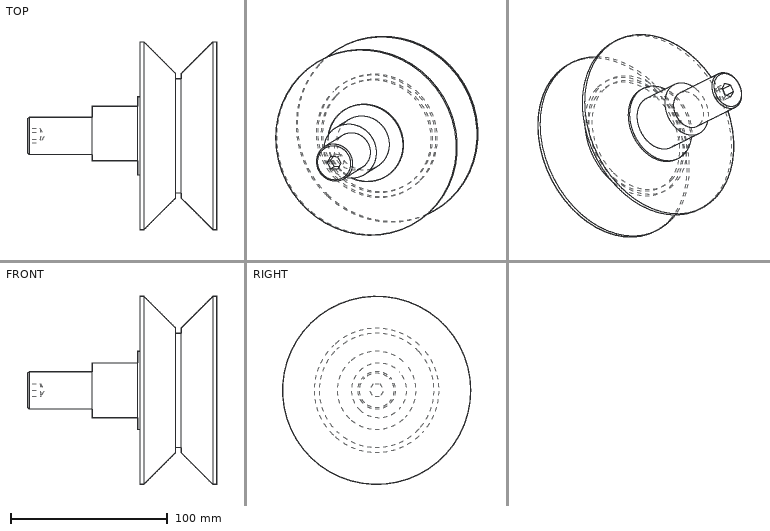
import cadquery as cq
import math


wheel_radius = 60.0
wheel_width = 49.0
rim_width = 2.5
flank_angle = 45.0
relief_width = 3.4
relief_radius = 36.5

flange_radius = 25.0
flange_length = 1.5
collar_radius = 17.5
collar_length = 29.0
collar_offset = 1.5
shaft_radius = 12.0
shaft_length = 41.0
shaft_chamfer = 1.0

socket_across_flats = 8.0
socket_depth = 8.0
socket_tip_angle = 120.0

wheel_face = -wheel_width / 2
flange_face = wheel_face - flange_length
collar_face = flange_face - collar_length
shaft_end = collar_face - shaft_length


def cylinder(start, length, radius, offset_y=0.0):
    """Solid cylinder along +X from the given station."""
    return cq.Workplane("YZ", origin=(start, offset_y, 0)).circle(radius).extrude(length)


def make_wheel():
    """Revolved wheel with a V groove and a square relief at its bottom."""
    half_width = wheel_width / 2
    flank_top = half_width - rim_width
    flank_bottom = relief_width / 2
    flank_drop = (flank_top - flank_bottom) * math.tan(math.radians(flank_angle))
    flank_radius = wheel_radius - flank_drop
    profile = [
        (-half_width, 0),
        (-half_width, wheel_radius),
        (-flank_top, wheel_radius),
        (-flank_bottom, flank_radius),
        (-flank_bottom, relief_radius),
        (flank_bottom, relief_radius),
        (flank_bottom, flank_radius),
        (flank_top, wheel_radius),
        (half_width, wheel_radius),
        (half_width, 0),
    ]
    return cq.Workplane("XY").polyline(profile).close().revolve(360, (0, 0, 0), (1, 0, 0))


def make_shaft():
    """Shaft stub with a chamfered free end."""
    return cylinder(shaft_end, shaft_length, shaft_radius).faces("<X").chamfer(shaft_chamfer)


def make_socket():
    """Hexagonal socket, corners on the Y axis, ending in a drill-point cone."""
    corner_radius = socket_across_flats / math.sqrt(3)
    tip_length = corner_radius / math.tan(math.radians(socket_tip_angle / 2))
    hexagon = (
        cq.Workplane("YZ", origin=(shaft_end, 0, 0))
        .polygon(6, 2 * corner_radius)
        .extrude(socket_depth + tip_length)
    )
    envelope_profile = [
        (shaft_end, 0),
        (shaft_end, corner_radius),
        (shaft_end + socket_depth, corner_radius),
        (shaft_end + socket_depth + tip_length, 0),
    ]
    envelope = cq.Workplane("XY").polyline(envelope_profile).close().revolve(360, (0, 0, 0), (1, 0, 0))
    return hexagon.intersect(envelope)


flange = cylinder(flange_face, flange_length, flange_radius)
collar = cylinder(collar_face, collar_length, collar_radius, collar_offset)

result = make_wheel().union(flange).union(collar).union(make_shaft()).cut(make_socket())